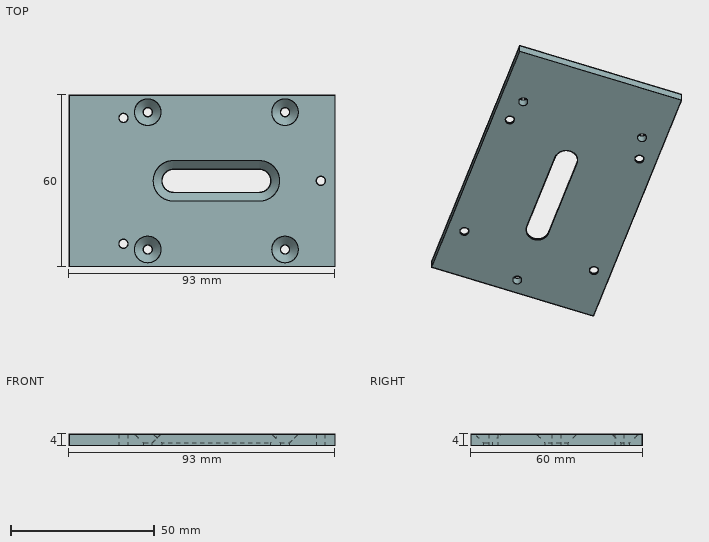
import cadquery as cq

plate_length = 93.0
plate_width = 60.0
plate_thickness = 4.0

pattern_x = 5.0

screw_spacing = 48.0
screw_diameter = 3.1
countersink_diameter = 9.3
countersink_angle = 90.0

slot_width = 8.0
slot_centre_distance = 30.0
slot_chamfer = 3.1
slot_chamfer_angle = 45.0

pin_diameter = 3.1
pin_pair_x = -27.5
pin_pair_spacing = 44.0
pin_single_x = 41.5


def make_plate():
    return cq.Workplane("XY").box(
        plate_length, plate_width, plate_thickness, centered=(True, True, False)
    )


def cut_slot(body):
    slot_length = slot_centre_distance + slot_width
    slot = (
        cq.Workplane("XY")
        .center(pattern_x, 0)
        .slot2D(slot_length, slot_width)
        .extrude(plate_thickness)
    )
    body = body.cut(slot)
    mouth_width = slot_width + 2 * slot_chamfer
    mouth = (
        cq.Workplane("XY", origin=(pattern_x, 0, plate_thickness))
        .slot2D(slot_centre_distance + mouth_width, mouth_width)
        .extrude(-slot_chamfer, taper=slot_chamfer_angle)
    )
    return body.cut(mouth)


def cut_screw_holes(body):
    return (
        body.faces(">Z")
        .workplane(origin=(pattern_x, 0, plate_thickness))
        .rect(screw_spacing, screw_spacing, forConstruction=True)
        .vertices()
        .cskHole(screw_diameter, countersink_diameter, countersink_angle)
    )


def cut_pin_holes(body):
    half_spacing = pin_pair_spacing / 2
    centres = [
        (pin_pair_x, half_spacing),
        (pin_pair_x, -half_spacing),
        (pin_single_x, 0),
    ]
    return (
        body.faces(">Z")
        .workplane(origin=(0, 0, plate_thickness))
        .pushPoints(centres)
        .hole(pin_diameter)
    )


result = cut_pin_holes(cut_screw_holes(cut_slot(make_plate())))